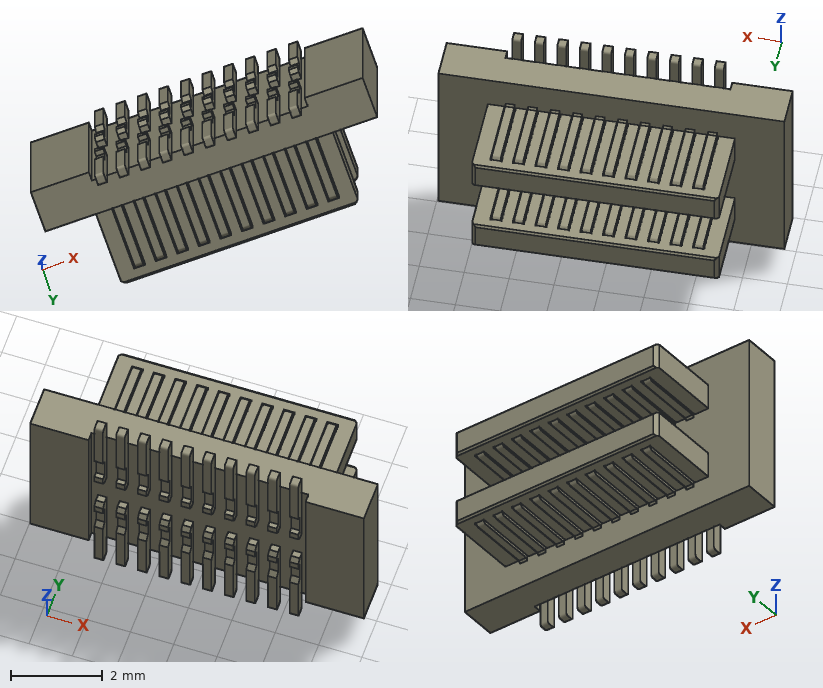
import cadquery as cq
import math


contacts_per_row = 10
contact_pitch = 0.5
contact_width = 0.2

base_length = 7.7
base_height = 4.005
base_thickness = 0.95
base_lift = 0.05
recess_length = 5.005
recess_depth = 0.2
recess_floor = base_lift + recess_depth
base_face = base_lift + base_thickness

overall_depth = 2.9
tongue_length = 5.5
tongue_inner = 0.615
tongue_outer = 1.255
end_chamfer = 0.09
edge_chamfer = 0.05

slot_gap = 0.027
slot_width = contact_width + 2 * slot_gap
slot_depth = 0.1
slot_end = overall_depth - 0.26
blade_inner = tongue_inner - 0.02
blade_outer = tongue_outer + 0.05
tip_bevel = 0.06
tip_easing_length = 0.05
root_flare = 0.05

overall_height = 5.2
tail_outer = overall_height / 2
tail_inner = 0.4
tail_tip_radius = 0.06
heel_chamfer = 0.1
notch_inner = 0.685
notch_outer = 1.31
notch_depth = 0.115

BEVEL_ANGLE = math.radians(45)

CORNER_TO_ARC = 1 - math.sqrt(0.5)


def mirrored_pair(upper):
    """The upper shape together with its mirror image below Z = 0."""
    return upper.union(upper.mirror("XY"))


def along_x(profile, width):
    """Extrude a closed YZ profile to a width centred on X = 0."""
    return profile.close().extrude(width / 2, both=True)


def box_between(width, y_range, z_range):
    """Box centred on X = 0 spanning the given Y and Z ranges."""
    size = (width, y_range[1] - y_range[0], z_range[1] - z_range[0])
    box = cq.Workplane("XY").box(*size, centered=(True, False, False))
    return box.translate((0, y_range[0], z_range[0]))


def repeat_along_row(shape):
    """List of copies of one shape, one at each contact position of a row."""
    first = -contact_pitch * (contacts_per_row - 1) / 2
    positions = [first + index * contact_pitch for index in range(contacts_per_row)]
    return [shape.translate((x, 0, 0)) for x in positions]


def make_base():
    """Flat block with a shallow full-height recess on its -Y face."""
    half_height = base_height / 2
    z_range = (-half_height, half_height)
    block = box_between(base_length, (base_lift, base_face), z_range)
    return block.cut(box_between(recess_length, (base_lift, recess_floor), z_range))


def make_tongue():
    """Upper tongue, chamfered around its free end and slotted on both faces."""
    tongue = box_between(tongue_length, (recess_floor, overall_depth), (tongue_inner, tongue_outer))
    tongue = tongue.edges(">Y and |Z").chamfer(end_chamfer)
    bevel = (
        cq.Workplane("YZ")
        .moveTo(recess_floor, tongue_inner)
        .lineTo(overall_depth - edge_chamfer, tongue_inner)
        .lineTo(overall_depth, tongue_inner + edge_chamfer)
        .lineTo(overall_depth, tongue_outer - edge_chamfer)
        .lineTo(overall_depth - edge_chamfer, tongue_outer)
        .lineTo(recess_floor, tongue_outer)
    )
    tongue = tongue.intersect(along_x(bevel, tongue_length))
    slot_y = (base_face, slot_end)
    inner_slot_z = (tongue_inner, tongue_inner + slot_depth)
    outer_slot_z = (tongue_outer - slot_depth, tongue_outer)
    for slot_z in (inner_slot_z, outer_slot_z):
        for slot in repeat_along_row(box_between(slot_width, slot_y, slot_z)):
            tongue = tongue.cut(slot)
    return tongue


def make_blade():
    """Contact blade through the upper tongue, with a beveled tip and flared root."""
    flare_end = base_face + root_flare
    bevel_start = slot_end - tip_bevel
    flat_end = bevel_start - tip_easing_length
    easing_radius = tip_easing_length / math.sin(BEVEL_ANGLE)
    easing_drop = easing_radius * (1 - math.cos(BEVEL_ANGLE))
    easing_mid_y = flat_end + easing_radius * math.sin(BEVEL_ANGLE / 2)
    easing_mid_drop = easing_radius * (1 - math.cos(BEVEL_ANGLE / 2))
    tip_drop = easing_drop + tip_bevel
    profile = (
        cq.Workplane("YZ")
        .moveTo(recess_floor, blade_inner - root_flare)
        .lineTo(base_face, blade_inner - root_flare)
        .lineTo(flare_end, blade_inner)
        .lineTo(flat_end, blade_inner)
        .threePointArc(
            (easing_mid_y, blade_inner + easing_mid_drop),
            (bevel_start, blade_inner + easing_drop),
        )
        .lineTo(slot_end, blade_inner + tip_drop)
        .lineTo(slot_end, blade_outer - tip_drop)
        .lineTo(bevel_start, blade_outer - easing_drop)
        .threePointArc(
            (easing_mid_y, blade_outer - easing_mid_drop),
            (flat_end, blade_outer),
        )
        .lineTo(flare_end, blade_outer)
        .lineTo(base_face, blade_outer + root_flare)
        .lineTo(recess_floor, blade_outer + root_flare)
    )
    return along_x(profile, contact_width)


def make_tail():
    """Upper solder tail on the recess floor, notched underneath, with a rounded tip."""
    tip_start = tail_outer - tail_tip_radius
    arc_offset = CORNER_TO_ARC * tail_tip_radius
    profile = (
        cq.Workplane("YZ")
        .moveTo(recess_floor, tail_inner)
        .lineTo(heel_chamfer, tail_inner)
        .lineTo(0, tail_inner + heel_chamfer)
        .lineTo(0, notch_inner)
        .lineTo(notch_depth, notch_inner)
        .lineTo(notch_depth, notch_outer - notch_depth)
        .lineTo(0, notch_outer)
        .lineTo(0, tip_start)
        .threePointArc((arc_offset, tail_outer - arc_offset), (tail_tip_radius, tail_outer))
        .lineTo(recess_floor - tail_tip_radius, tail_outer)
        .threePointArc(
            (recess_floor - arc_offset, tail_outer - arc_offset),
            (recess_floor, tip_start),
        )
    )
    return along_x(profile, contact_width)


contact = make_blade().union(make_tail())
result = make_base().union(mirrored_pair(make_tongue()))
for placed_contact in repeat_along_row(contact):
    result = result.union(mirrored_pair(placed_contact))